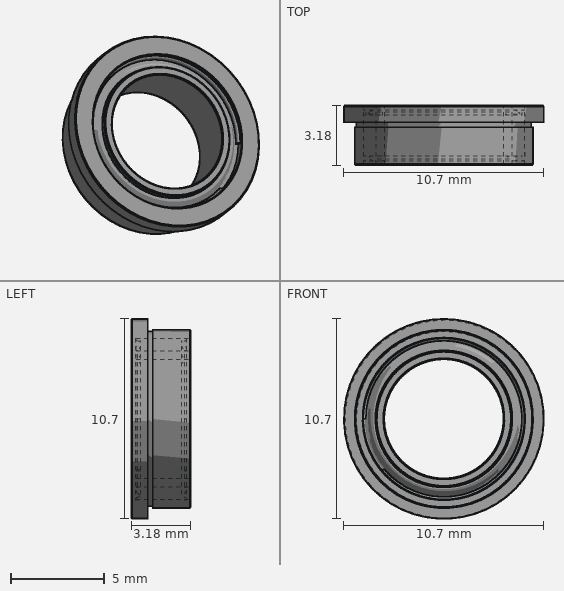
import cadquery as cq
import math


BORE_DIAMETER = 6.35
OUTER_DIAMETER = 9.525
FLANGE_DIAMETER = 10.668
WIDTH = 3.175
FLANGE_WIDTH = 0.9

RELIEF_WIDTH = 0.25
RELIEF_DEPTH = 0.09

EDGE_CHAMFER = 0.06
SHOULDER_CHAMFER = 0.04

INNER_SHOULDER_RADIUS = 3.63
OUTER_SHOULDER_RADIUS = 4.30

LIP_DEPTH = 0.24
LIP_WIDTH = 0.10
LIP_CLEARANCE = 0.03
LIP_THICKNESS = 0.10
BEND_RADIUS = 0.24
BEND_ANGLE = math.radians(45)
CONE_RUN = 0.12

BEND_RUN = BEND_RADIUS * math.sin(BEND_ANGLE)
BEND_DROP = BEND_RADIUS * (1 - math.cos(BEND_ANGLE))
HALF_BEND_RUN = BEND_RADIUS * math.sin(BEND_ANGLE / 2)
HALF_BEND_DROP = BEND_RADIUS * (1 - math.cos(BEND_ANGLE / 2))
CONE_DROP = CONE_RUN * math.tan(BEND_ANGLE)
RIM_DEPTH = LIP_DEPTH + 2 * BEND_DROP + CONE_DROP

SNAP_WIRE_RADIUS = 0.14
SNAP_GAP_ANGLE = 40

SNAP_RING_START = -90

AXIS_START = (0, 0, 0)
AXIS_END = (0, 1, 0)


def outline_plane():
    """Plane for (radius, y) outlines: the local x axis is +Z and the local y axis is +Y."""
    return cq.Workplane(cq.Plane(origin=(0, 0, 0), xDir=(0, 0, 1), normal=(-1, 0, 0)))


def revolve_about_axis(outline, angle=360):
    return outline.close().revolve(angle, AXIS_START, AXIS_END)


def make_inner_ring():
    bore = BORE_DIAMETER / 2
    shoulder = INNER_SHOULDER_RADIUS
    outline = outline_plane().polyline([
        (bore + EDGE_CHAMFER, 0),
        (shoulder - EDGE_CHAMFER, 0),
        (shoulder, EDGE_CHAMFER),
        (shoulder, WIDTH - EDGE_CHAMFER),
        (shoulder - EDGE_CHAMFER, WIDTH),
        (bore + EDGE_CHAMFER, WIDTH),
        (bore, WIDTH - EDGE_CHAMFER),
        (bore, EDGE_CHAMFER),
    ])
    return revolve_about_axis(outline)


def make_outer_ring():
    shoulder = OUTER_SHOULDER_RADIUS
    rim = OUTER_DIAMETER / 2
    flange = FLANGE_DIAMETER / 2
    relief = rim - RELIEF_DEPTH
    flange_y = WIDTH - FLANGE_WIDTH
    relief_y = flange_y - RELIEF_WIDTH
    outline = outline_plane().polyline([
        (shoulder + SHOULDER_CHAMFER, 0),
        (rim - EDGE_CHAMFER, 0),
        (rim, EDGE_CHAMFER),
        (rim, relief_y),
        (relief, relief_y),
        (relief, flange_y),
        (flange, flange_y),
        (flange, WIDTH - EDGE_CHAMFER),
        (flange - EDGE_CHAMFER, WIDTH),
        (shoulder + SHOULDER_CHAMFER, WIDTH),
        (shoulder, WIDTH - SHOULDER_CHAMFER),
        (shoulder, SHOULDER_CHAMFER),
    ])
    return revolve_about_axis(outline)


def make_shield_core():
    """Front half of the shield, from its formed face back to the middle of the bearing.

    The lip clears the inner ring by a narrow groove; the core behind it closes the space between the rings.
    """
    lip_start = INNER_SHOULDER_RADIUS + LIP_CLEARANCE
    lip_end = lip_start + LIP_WIDTH
    cone_start = lip_end + BEND_RUN
    cone_end = cone_start + CONE_RUN
    rim_start = cone_end + BEND_RUN
    clearance_floor = LIP_DEPTH + LIP_THICKNESS
    outline = (
        outline_plane()
        .moveTo(lip_start, LIP_DEPTH)
        .lineTo(lip_end, LIP_DEPTH)
        .threePointArc(
            (lip_end + HALF_BEND_RUN, LIP_DEPTH + HALF_BEND_DROP),
            (cone_start, LIP_DEPTH + BEND_DROP),
        )
        .lineTo(cone_end, RIM_DEPTH - BEND_DROP)
        .threePointArc((rim_start - HALF_BEND_RUN, RIM_DEPTH - HALF_BEND_DROP), (rim_start, RIM_DEPTH))
        .lineTo(OUTER_SHOULDER_RADIUS, RIM_DEPTH)
        .lineTo(OUTER_SHOULDER_RADIUS, WIDTH / 2)
        .lineTo(INNER_SHOULDER_RADIUS, WIDTH / 2)
        .lineTo(INNER_SHOULDER_RADIUS, clearance_floor)
        .lineTo(lip_start, clearance_floor)
    )
    return revolve_about_axis(outline)


def make_snap_ring():
    """Open ring on the shield's rim, rounded at the front and inner side."""
    wire_y = RIM_DEPTH - SNAP_WIRE_RADIUS
    inner_radius = OUTER_SHOULDER_RADIUS - SNAP_WIRE_RADIUS
    diagonal = SNAP_WIRE_RADIUS * math.sqrt(0.5)
    outline = (
        outline_plane()
        .moveTo(OUTER_SHOULDER_RADIUS, wire_y - SNAP_WIRE_RADIUS)
        .threePointArc(
            (OUTER_SHOULDER_RADIUS - diagonal, wire_y - diagonal),
            (inner_radius, wire_y),
        )
        .lineTo(inner_radius, RIM_DEPTH)
        .lineTo(OUTER_SHOULDER_RADIUS, RIM_DEPTH)
    )
    ring = revolve_about_axis(outline, 360 - SNAP_GAP_ANGLE)
    return ring.rotate(AXIS_START, AXIS_END, SNAP_RING_START)


def make_shield():
    """Formed shield with its snap ring, the same on both sides of the bearing."""
    front_half = make_shield_core().union(make_snap_ring())
    back_half = front_half.mirror("XZ", (0, WIDTH / 2, 0))
    return front_half.union(back_half)


inner_ring = make_inner_ring()
outer_ring = make_outer_ring()
shield = make_shield()

result = cq.Compound.makeCompound([inner_ring.val(), outer_ring.val(), shield.val()])